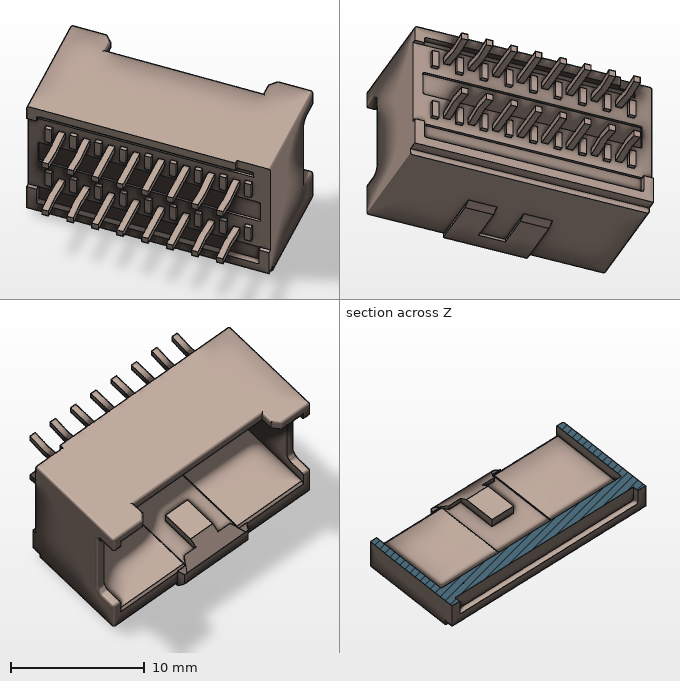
import cadquery as cq

LENGTH = 19.4
DEPTH = 9.27
HEIGHT = 11.25
WALL = 0.7
BOTTOM_WALL = 1.67
EDGE_RADIUS = 0.2
BASE_THICKNESS = 2.0
LEAD_IN = 0.2

WINDOW_BOTTOM = 2.7
WINDOW_TOP = 9.8
WINDOW_FLOOR = 7.35
WINDOW_RADIUS = 0.58

NOTCH_FLOOR = 7.66
NOTCH_HALF = 6.3
NOTCH_MOUTH_HALF = 6.85
NOTCH_FLARE_START = 8.67

BAND_BOTTOM = 2.74
BAND_TOP = 9.95
BAND_DEPTH = 0.31
CORNER_CUT_X = 7.02
POCKET_FLOOR = 0.5
POCKET_RADIUS = 0.15
POCKET_HALF = 8.9
UPPER_POCKET_RIGHT = 8.35
UPPER_POCKET_TOP = 10.45
MIDDLE_POCKET_BOTTOM = 5.45
MIDDLE_POCKET_TOP = 7.45
LOWER_POCKET_BOTTOM = 1.26
LOWER_STEP_DEPTH = 0.81
LOWER_STEP_HEIGHT = 0.5

PITCH = 2.0
PIN_COUNT = 8
PIN_SIZE = 0.52
PIN_LENGTH = 3.2
PIN_KINK = 0.2
PIN_STRAIGHT_END = 0.17
PIN_KINK_PEAK = 1.67
PIN_TIP_START = 3.15
KINKED_PER_SIDE = 2
LOWER_PIN_Z = 3.94
UPPER_PIN_Z = 8.95
RIB_WIDTH = 0.52
RIB_HEIGHT = 1.38
LOWER_RIB_Z = 4.11
UPPER_RIB_Z = 8.73

LATCH_DROP = 0.25
LATCH_TIP = 9.75
LATCH_HALF = 3.41
LATCH_TIP_HALF = 3.12
LATCH_CROWN_HALF = 2.9
LATCH_START = 4.5
LATCH_RUN_OUT = 5.18
LATCH_NOSE_BOTTOM = 0.2
LATCH_NOSE_TOP = 1.38
LATCH_NOSE_CREST = 1.61
LATCH_INNER_HALF = 1.09
LATCH_SHOULDER_HALF = 2.27
LATCH_SHOULDER_END = 8.7
LATCH_RAMP_END = 8.05
LATCH_RAMP_TOP = 2.29
LATCH_NOSE_START = 9.35
BED_HALF = 2.62
BED_DEPTH = 0.12


def box(x0, x1, y0, y1, z0, z1):
    """Axis-aligned block between two opposite corners."""
    return cq.Workplane("XY").box(x1 - x0, y1 - y0, z1 - z0, centered=False).translate((x0, y0, z0))


def side_prism(points, half_width, centre_x=0.0):
    """Outline in (y, z) extruded along X, symmetric about centre_x."""
    outline = cq.Workplane("YZ", origin=(centre_x, 0, 0)).polyline(points).close()
    return outline.extrude(half_width, both=True)


def make_shell():
    """Outer block with end windows, top notch, rounded edges and open cavity."""
    shell = box(-LENGTH / 2, LENGTH / 2, 0, DEPTH, 0, HEIGHT)
    window = box(-LENGTH, LENGTH, WINDOW_FLOOR, 2 * DEPTH, WINDOW_BOTTOM, WINDOW_TOP)
    shell = shell.cut(window.edges("|X and <Y").fillet(WINDOW_RADIUS))

    notch = (
        cq.Workplane("XY", origin=(0, 0, WINDOW_TOP))
        .polyline([
            (-NOTCH_HALF, NOTCH_FLOOR),
            (NOTCH_HALF, NOTCH_FLOOR),
            (NOTCH_HALF, NOTCH_FLARE_START),
            (NOTCH_MOUTH_HALF, DEPTH),
            (-NOTCH_MOUTH_HALF, DEPTH),
            (-NOTCH_HALF, NOTCH_FLARE_START),
        ])
        .close()
        .extrude(HEIGHT - WINDOW_TOP)
    )
    shell = shell.cut(notch)
    shell = shell.faces("<X or >X or >Y or >Z or <Z").edges("not(<Y)").fillet(EDGE_RADIUS)

    inner_half = LENGTH / 2 - WALL
    cavity = box(-inner_half, inner_half, BASE_THICKNESS, DEPTH, BOTTOM_WALL, HEIGHT - WALL)
    lead_in = side_prism(
        [(DEPTH - LEAD_IN, BOTTOM_WALL), (DEPTH, BOTTOM_WALL - LEAD_IN), (DEPTH, BOTTOM_WALL)],
        inner_half,
    )
    return shell.cut(cavity).cut(lead_in)


def make_pocket(right, bottom, top, rounded_edges):
    """Shallow pocket in the mounting face with the selected corners rounded."""
    pocket = box(-POCKET_HALF, right, 0, POCKET_FLOOR, bottom, top)
    return pocket.edges(rounded_edges).fillet(POCKET_RADIUS)


def cut_mounting_face(body):
    """Recess the pin band, the top right corner, the pockets and the lower step."""
    half = LENGTH / 2
    body = body.cut(box(-half, half, 0, BAND_DEPTH, BAND_BOTTOM, BAND_TOP))
    body = body.cut(box(CORNER_CUT_X, half, 0, BAND_DEPTH, BAND_TOP, HEIGHT))
    body = body.cut(box(-half, half, 0, LOWER_STEP_DEPTH, 0, LOWER_STEP_HEIGHT))
    pockets = (
        (POCKET_HALF, LOWER_POCKET_BOTTOM, BAND_BOTTOM, "|Y and <Z"),
        (POCKET_HALF, MIDDLE_POCKET_BOTTOM, MIDDLE_POCKET_TOP, "|Y"),
        (UPPER_POCKET_RIGHT, BAND_TOP, UPPER_POCKET_TOP, "|Y and >Z"),
    )
    for right, bottom, top, rounded_edges in pockets:
        body = body.cut(make_pocket(right, bottom, top, rounded_edges))
    return body


def make_rib(x, z):
    """Standoff rib rising from the recessed band to the mounting plane."""
    half_width = RIB_WIDTH / 2
    half_height = RIB_HEIGHT / 2
    return box(x - half_width, x + half_width, 0, POCKET_FLOOR, z - half_height, z + half_height)


def make_pin(x, z, kink):
    """Square pin along -Y whose middle is shifted by kink in Z."""
    path = [
        (POCKET_FLOOR, 0),
        (-PIN_STRAIGHT_END, 0),
        (-PIN_KINK_PEAK, kink),
        (-PIN_TIP_START, 0),
        (-PIN_LENGTH, 0),
    ]
    upper = [(y, z + dz + PIN_SIZE / 2) for y, dz in path]
    lower = [(y, z + dz - PIN_SIZE / 2) for y, dz in path]
    return side_prism(upper + lower[::-1], PIN_SIZE / 2, x)


def add_contacts(body):
    """Add both rows of pins and ribs; the outer pins kink towards the other row."""
    rows = (
        (LOWER_PIN_Z, LOWER_RIB_Z, PIN_KINK),
        (UPPER_PIN_Z, UPPER_RIB_Z, -PIN_KINK),
    )
    for pin_z, rib_z, kink in rows:
        for i in range(PIN_COUNT + 1):
            body = body.union(make_rib((i - PIN_COUNT / 2) * PITCH, rib_z))
        for i in range(PIN_COUNT):
            is_kinked = i < KINKED_PER_SIDE or i >= PIN_COUNT - KINKED_PER_SIDE
            pin_x = (i - (PIN_COUNT - 1) / 2) * PITCH
            body = body.union(make_pin(pin_x, pin_z, kink if is_kinked else 0))
    return body


def plan_prism(points):
    """Outline in (x, y) extruded upward from the latch underside, mirrored about X = 0."""
    mirrored = [(-x, y) for x, y in reversed(points)]
    outline = cq.Workplane("XY", origin=(0, 0, -LATCH_DROP)).polyline(points + mirrored).close()
    return outline.extrude(HEIGHT)


def make_latch_core():
    """Ramped tongue that narrows into the cavity, ending in a flat-topped spine."""
    tongue = side_prism(
        [
            (LATCH_RAMP_END, -LATCH_DROP),
            (LATCH_NOSE_START, -LATCH_DROP),
            (LATCH_TIP, LATCH_NOSE_BOTTOM),
            (LATCH_TIP, LATCH_NOSE_TOP),
            (LATCH_RAMP_END, LATCH_RAMP_TOP),
        ],
        LATCH_HALF,
    )
    plan = plan_prism([
        (LATCH_INNER_HALF, LATCH_RAMP_END),
        (LATCH_INNER_HALF, LATCH_SHOULDER_END),
        (LATCH_SHOULDER_HALF, LATCH_SHOULDER_END),
        (LATCH_CROWN_HALF, LATCH_TIP),
    ])
    half = LATCH_INNER_HALF
    spine = box(-half, half, LATCH_RUN_OUT, LATCH_RAMP_END, EDGE_RADIUS, LATCH_RAMP_TOP)
    return tongue.intersect(plan).union(spine)


def make_latch_nose():
    """Wide tapered nose standing on the rear rim around the tongue."""
    nose = side_prism(
        [
            (DEPTH, -LATCH_DROP),
            (LATCH_NOSE_START, -LATCH_DROP),
            (LATCH_TIP, LATCH_NOSE_BOTTOM),
            (LATCH_TIP, LATCH_NOSE_TOP),
            (DEPTH, LATCH_NOSE_CREST),
        ],
        LATCH_HALF,
    )
    return nose.intersect(plan_prism([(LATCH_HALF, DEPTH), (LATCH_TIP_HALF, LATCH_TIP)]))


def make_latch_rail(side):
    """Rail under the bottom wall with a sloped start; side is -1 or 1."""
    return side_prism(
        [
            (LATCH_START, 0),
            (LATCH_RUN_OUT, -LATCH_DROP),
            (DEPTH, -LATCH_DROP),
            (DEPTH, EDGE_RADIUS),
            (LATCH_START, EDGE_RADIUS),
        ],
        (LATCH_HALF - LATCH_INNER_HALF) / 2,
        side * (LATCH_HALF + LATCH_INNER_HALF) / 2,
    )


def add_latch(body):
    """Sink a bed into the cavity floor, then add the tongue, nose and rails."""
    floor = BOTTOM_WALL - BED_DEPTH
    body = body.cut(box(-BED_HALF, BED_HALF, BASE_THICKNESS, DEPTH, floor, HEIGHT - WALL))
    body = body.union(make_latch_core()).union(make_latch_nose())
    for side in (-1, 1):
        body = body.union(make_latch_rail(side))
    return body


result = add_latch(add_contacts(cut_mounting_face(make_shell())))